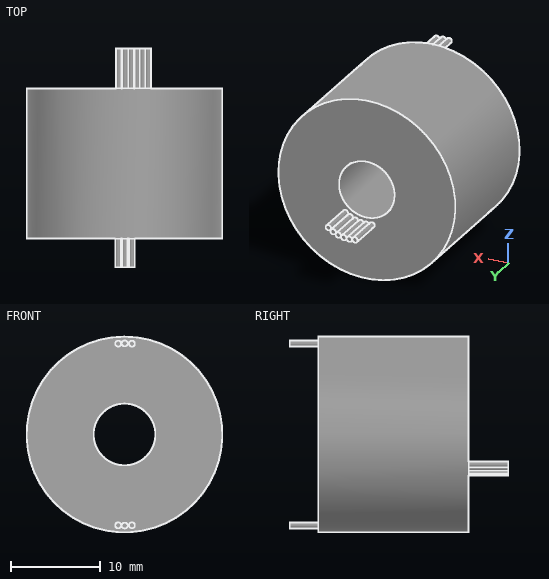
import cadquery as cq
import math

overall_length = 24.4
body_diameter = 21.85
bore_diameter = 6.85
pin_diameter = 0.65
front_pin_length = 3.2
rear_pin_length = 4.45
body_length = overall_length - front_pin_length - rear_pin_length

front_pin_x = (-0.7, 0.02, 0.83)
front_pin_circle_radius = 10.15

rear_pin_count = 6
rear_pin_circle_radius = 4.25
rear_pin_first_angle = -8.7
rear_pin_pitch_angle = 9.4


def cylinder_along_y(diameter, y_start, length, x=0.0, z=0.0):
    """Solid cylinder running toward +Y from y_start."""
    base = cq.Vector(x, y_start, z)
    return cq.Workplane(cq.Solid.makeCylinder(diameter / 2, length, base, cq.Vector(0, 1, 0)))


body = cylinder_along_y(body_diameter, 0, body_length)
bore = cylinder_along_y(bore_diameter, 0, body_length)
result = body.cut(bore)

for x in front_pin_x:
    height = math.sqrt(front_pin_circle_radius**2 - x**2)
    for z in (height, -height):
        pin = cylinder_along_y(pin_diameter, -front_pin_length, front_pin_length, x, z)
        result = result.union(pin)

for i in range(rear_pin_count):
    angle = math.radians(rear_pin_first_angle + i * rear_pin_pitch_angle)
    x = rear_pin_circle_radius * math.sin(angle)
    z = -rear_pin_circle_radius * math.cos(angle)
    result = result.union(cylinder_along_y(pin_diameter, body_length, rear_pin_length, x, z))